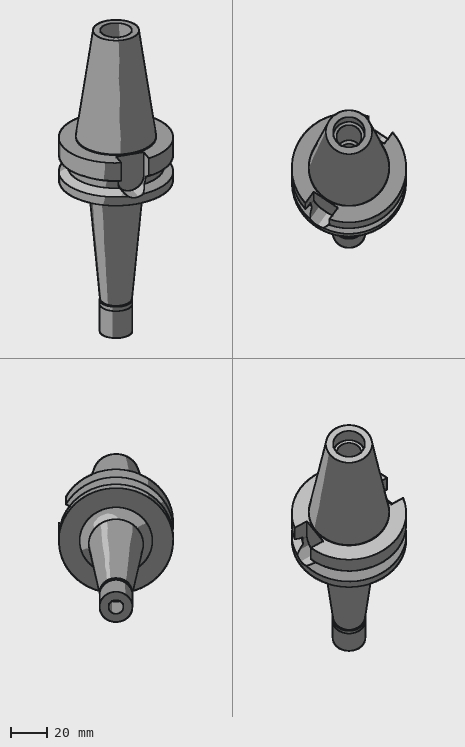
import cadquery as cq

TOTAL_HEIGHT = 185.4

TAPER_LENGTH = 65.5
TAPER_RADIUS = 22.2
TAPER_SLOPE = 7 / 48
RELIEF_RADIUS = 22.0
FLANGE_TOP_Z = 119.4

FLANGE_RADIUS = 31.5
FLANGE_BOTTOM_Z = 93.0
GROOVE_FLOOR_RADIUS = 26.5
GROOVE_CENTRE_Z = 103.5
GROOVE_FLOOR_WIDTH = 4.3
GROOVE_MOUTH_WIDTH = 10.0

SLOT_WIDTH = 16.1
SLOT_FLOOR_X = 22.5
SLOT_BOTTOM_Z = 97.1

FLARE_TOP_RADIUS = 20.0
FLARE_HEIGHT = 5.0
FLARE_SAG = 0.4
NOSE_TOP_RADIUS = 15.0
NOSE_END_RADIUS = 8.9
NOSE_END_Z = 19.8
NECK_RADIUS = 8.7

RING_TOP_Z = 19.3
NUT_HEIGHT = 16.7
NUT_RADIUS = 9.0
RING_RADIUS = NUT_RADIUS

COUNTERBORE_RADIUS = 8.7
COUNTERBORE_DEPTH = 8.9
THREAD_BORE_RADIUS = 6.9
THREAD_BORE_DEPTH = 37.0
PASSAGE_RADIUS = 4.8
NUT_HOLE_RADIUS = 4.0


def cylinder(radius, bottom_z, top_z):
    """Cylinder on the Z axis between two heights."""
    return cq.Workplane("XY").workplane(offset=bottom_z).circle(radius).extrude(top_z - bottom_z)


def holder_blank():
    """Outer shape of the holder, turned about the Z axis."""
    taper_base_z = TOTAL_HEIGHT - TAPER_LENGTH
    shank_end_radius = TAPER_RADIUS - TAPER_LENGTH * TAPER_SLOPE
    flare_bottom_z = FLANGE_BOTTOM_Z - FLARE_HEIGHT
    half_floor = GROOVE_FLOOR_WIDTH / 2
    half_mouth = GROOVE_MOUTH_WIDTH / 2
    flare_middle = (
        (FLARE_TOP_RADIUS + NOSE_TOP_RADIUS) / 2 - FLARE_SAG,
        (FLANGE_BOTTOM_Z + flare_bottom_z) / 2 + FLARE_SAG,
    )
    return (
        cq.Workplane("XZ")
        .moveTo(0, TOTAL_HEIGHT)
        .lineTo(shank_end_radius, TOTAL_HEIGHT)
        .lineTo(TAPER_RADIUS, taper_base_z)
        .lineTo(RELIEF_RADIUS, taper_base_z)
        .lineTo(RELIEF_RADIUS, FLANGE_TOP_Z)
        .lineTo(FLANGE_RADIUS, FLANGE_TOP_Z)
        .lineTo(FLANGE_RADIUS, GROOVE_CENTRE_Z + half_mouth)
        .lineTo(GROOVE_FLOOR_RADIUS, GROOVE_CENTRE_Z + half_floor)
        .lineTo(GROOVE_FLOOR_RADIUS, GROOVE_CENTRE_Z - half_floor)
        .lineTo(FLANGE_RADIUS, GROOVE_CENTRE_Z - half_mouth)
        .lineTo(FLANGE_RADIUS, FLANGE_BOTTOM_Z)
        .lineTo(FLARE_TOP_RADIUS, FLANGE_BOTTOM_Z)
        .threePointArc(flare_middle, (NOSE_TOP_RADIUS, flare_bottom_z))
        .lineTo(NOSE_END_RADIUS, NOSE_END_Z)
        .lineTo(NECK_RADIUS, NOSE_END_Z)
        .lineTo(NECK_RADIUS, RING_TOP_Z)
        .lineTo(0, RING_TOP_Z)
        .close()
        .revolve(360, (0, 0), (0, 1))
    )


def holder_bore():
    """Counterbore, threaded bore and through passage, stepping down from the shank end."""
    counterbore = cylinder(COUNTERBORE_RADIUS, TOTAL_HEIGHT - COUNTERBORE_DEPTH, TOTAL_HEIGHT)
    thread_bore = cylinder(THREAD_BORE_RADIUS, TOTAL_HEIGHT - THREAD_BORE_DEPTH, TOTAL_HEIGHT)
    passage = cylinder(PASSAGE_RADIUS, RING_TOP_Z, TOTAL_HEIGHT)
    return passage.union(thread_bore).union(counterbore)


def drive_slot(side):
    """Round-bottomed slot cutter on the +X (side = 1) or -X (side = -1) rim."""
    round_radius = SLOT_WIDTH / 2
    round_centre_z = SLOT_BOTTOM_Z + round_radius
    return (
        cq.Workplane("YZ", origin=(side * SLOT_FLOOR_X, 0, 0))
        .moveTo(-round_radius, FLANGE_TOP_Z)
        .lineTo(-round_radius, round_centre_z)
        .threePointArc((0, SLOT_BOTTOM_Z), (round_radius, round_centre_z))
        .lineTo(round_radius, FLANGE_TOP_Z)
        .close()
        .extrude(side * FLANGE_RADIUS)
    )


def make_holder():
    """Taper shank, flange and nose in one piece."""
    body = holder_blank().cut(holder_bore())
    for side in (-1, 1):
        body = body.cut(drive_slot(side))
    return body


def make_ring():
    """Plain ring between the nose and the nut."""
    hole = cylinder(PASSAGE_RADIUS, NUT_HEIGHT, RING_TOP_Z)
    return cylinder(RING_RADIUS, NUT_HEIGHT, RING_TOP_Z).cut(hole)


def make_nut():
    """Smooth round nut with a through hole."""
    hole = cylinder(NUT_HOLE_RADIUS, 0, NUT_HEIGHT)
    return cylinder(NUT_RADIUS, 0, NUT_HEIGHT).cut(hole)


holder = make_holder()
ring = make_ring()
nut = make_nut()

result = cq.Compound.makeCompound([holder.val(), ring.val(), nut.val()])